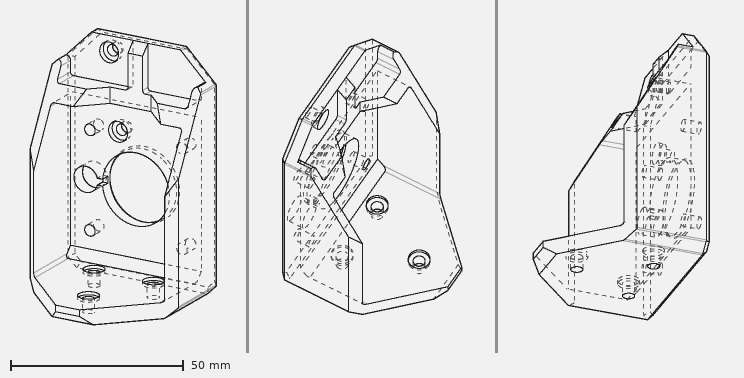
import cadquery as cq
import math

WIDTH = 50.0
DEPTH = 44.0
HEIGHT = 75.0
HALF_WIDTH = WIDTH / 2

TOP_CORNER = 10.05
BOTTOM_CORNER = 3.0
CORNER_RADIUS = 0.75
BACK_CHAMFER = 1.5
TIP_HALF_WIDTH = 4.0
TIP_CHAMFER = 3.0

SIDE_WALL = 3.0
PLATE = 5.0
FLOOR = 5.0
INNER_RADIUS = 1.0
HALF_INNER = HALF_WIDTH - SIDE_WALL

SLOPE_START = 37.5
SLOPE_ANGLE = 29.5

CHAMBER_TOP = 55.4
CHAMBER_CHAMFER = 3.0
BRIDGE = 5.0
SHELF_Z = CHAMBER_TOP + BRIDGE
NOTCH_HALF_WIDTH = 6.9
RIB_DEPTH = 8.0

WALL_TOP = 66.45
WALL_TOP_RADIUS = 1.5
RIB_WIDTH = 4.95
RIB_X = 1.6

SCREW_HOLE = 3.5
SCREW_HEAD = 6.4
PLATE_HEAD_DEPTH = 2.0
FLOOR_HEAD_DEPTH = 1.0
MOTOR_Z = 29.25
MOTOR_BORE = 22.5
BORE_CHAMFER_DEPTH = 0.9
BORE_CHAMFER_WIDTH = 0.45
MOTOR_PITCH = 31.0
CABLE_HOLE = 8.0
CABLE_X = -16.9
SLOT_WIDTH = 2.1
SLOT_DEPTH = 3.0
PLATE_SCREWS = [
    (-9.0, 69.8),
    (-6.0, 45.9),
]
FLOOR_SCREWS = [
    (-10.0, -12.0),
    (10.0, -12.0),
    (0, -32.0),
]


def xz_plane_at(y):
    return cq.Workplane("XZ", origin=(0, y, 0))


def front_prism(outline, y_back, y_front):
    """Extrude an XZ outline between two Y positions, y_front being more negative."""
    return xz_plane_at(y_back).polyline(outline).close().extrude(y_back - y_front)


def side_prism(outline, x_left, x_right):
    """Extrude a YZ outline between two X positions."""
    plane = cq.Workplane("YZ", origin=(x_left, 0, 0))
    return plane.polyline(outline).close().extrude(x_right - x_left)


def box_between(x_range, y_range, z_range):
    size = [high - low for low, high in (x_range, y_range, z_range)]
    corner = (x_range[0], y_range[0], z_range[0])
    return cq.Workplane("XY").box(*size, centered=False).translate(corner)


def mirrored(points):
    """Close a right-hand outline, listed bottom to top, with its mirror image."""
    return points + [(-x, v) for x, v in reversed(points)]


def outer_body():
    profile = mirrored([
        (HALF_WIDTH - BOTTOM_CORNER, 0),
        (HALF_WIDTH, BOTTOM_CORNER),
        (HALF_WIDTH, HEIGHT - TOP_CORNER),
        (HALF_WIDTH - TOP_CORNER, HEIGHT),
    ])
    prism = front_prism(profile, 0, -DEPTH)
    rounded = prism.edges("|Y").fillet(CORNER_RADIUS)
    body = rounded.intersect(prism.faces(">Y").edges().chamfer(BACK_CHAMFER))

    plan = mirrored([
        (TIP_HALF_WIDTH, -DEPTH),
        (HALF_WIDTH, -DEPTH + HALF_WIDTH - TIP_HALF_WIDTH),
        (HALF_WIDTH, 0),
    ])
    body = body.intersect(cq.Workplane("XY").polyline(plan).close().extrude(HEIGHT))

    tip = [(-DEPTH, 0), (-DEPTH + TIP_CHAMFER, 0), (-DEPTH, TIP_CHAMFER)]
    return body.cut(side_prism(tip, -HALF_WIDTH, HALF_WIDTH))


def slope_cut():
    start_y = -DEPTH + HALF_INNER - TIP_HALF_WIDTH
    rise = WALL_TOP - SLOPE_START
    end_y = start_y + rise * math.tan(math.radians(SLOPE_ANGLE))
    outline = [
        (-DEPTH, SLOPE_START),
        (start_y, SLOPE_START),
        (end_y, WALL_TOP),
        (-DEPTH, WALL_TOP),
    ]
    return side_prism(outline, -HALF_WIDTH, HALF_WIDTH)


def motor_chamber():
    inner_x = (-HALF_INNER, HALF_INNER)
    chamber = box_between(inner_x, (-DEPTH, -PLATE), (FLOOR, CHAMBER_TOP))
    chamber = chamber.edges("|Y").fillet(INNER_RADIUS)
    wedge = [
        (-PLATE, FLOOR),
        (-PLATE - CHAMBER_CHAMFER, FLOOR),
        (-PLATE, FLOOR + CHAMBER_CHAMFER),
    ]
    return chamber.cut(side_prism(wedge, *inner_x))


def bridge_notch():
    spread = DEPTH - RIB_DEPTH
    plan = mirrored([
        (NOTCH_HALF_WIDTH + spread, -DEPTH),
        (NOTCH_HALF_WIDTH, -RIB_DEPTH),
    ])
    notch = cq.Workplane("XY", origin=(0, 0, CHAMBER_TOP)).polyline(plan).close()
    inner = box_between((-HALF_INNER, HALF_INNER), (-DEPTH, 0), (CHAMBER_TOP, HEIGHT))
    return notch.extrude(HEIGHT - CHAMBER_TOP).intersect(inner)


def edges_at_height(z):
    """Select edges at one height, leaving out the outer sides of the part."""
    margin = SIDE_WALL / 4
    reach = HALF_INNER + margin
    return cq.selectors.BoxSelector((-reach, -DEPTH, z - margin), (reach, 0, z + margin))


def upper_pockets():
    """Space in front of the back plate above the bridge, leaving the rib standing."""
    outline = [
        (-HALF_WIDTH, HEIGHT),
        (-HALF_WIDTH, WALL_TOP),
        (-HALF_INNER, WALL_TOP),
        (-HALF_INNER, SHELF_Z),
        (HALF_INNER, SHELF_Z),
        (HALF_INNER, WALL_TOP),
        (HALF_WIDTH, WALL_TOP),
        (HALF_WIDTH, HEIGHT),
    ]
    space = front_prism(outline, -PLATE, -DEPTH)
    rib_x = (RIB_X - RIB_WIDTH / 2, RIB_X + RIB_WIDTH / 2)
    space = space.cut(box_between(rib_x, (-DEPTH, 0), (SHELF_Z, HEIGHT)))
    space = space.edges("|Y").edges(edges_at_height(WALL_TOP)).fillet(WALL_TOP_RADIUS)
    return space.edges("|Y").edges(edges_at_height(SHELF_Z)).fillet(INNER_RADIUS)


def rib_top_chamfer():
    reach = RIB_DEPTH - PLATE
    outline = [(-PLATE, HEIGHT), (-RIB_DEPTH, HEIGHT), (-RIB_DEPTH, HEIGHT - reach)]
    return side_prism(outline, -HALF_INNER, HALF_INNER)


def cylinder_y(x, z, diameter, depth, y_start=0.0):
    """Cylinder running from y_start toward -Y."""
    return xz_plane_at(y_start).center(x, z).circle(diameter / 2).extrude(depth)


def motor_bore_flare():
    """Cone that opens the motor bore toward the back face."""
    radius = MOTOR_BORE / 2
    half_section = [
        (0, 0),
        (radius + BORE_CHAMFER_WIDTH, 0),
        (radius, -BORE_CHAMFER_DEPTH),
        (0, -BORE_CHAMFER_DEPTH),
    ]
    section = cq.Workplane("XY", origin=(0, 0, MOTOR_Z)).polyline(half_section).close()
    return section.revolve(360, (0, 0, 0), (0, 1, 0))


def plate_holes():
    bore = cylinder_y(0, MOTOR_Z, MOTOR_BORE, PLATE)
    cutter = bore.union(motor_bore_flare())
    cutter = cutter.union(cylinder_y(CABLE_X, MOTOR_Z, CABLE_HOLE, PLATE))
    half_slot = SLOT_WIDTH / 2
    slot_y = (-PLATE, -PLATE + SLOT_DEPTH)
    slot_z = (MOTOR_Z - half_slot, MOTOR_Z + half_slot)
    slot = box_between((CABLE_X, 0), slot_y, slot_z)
    cutter = cutter.union(slot)
    half_pitch = MOTOR_PITCH / 2
    for x in (-half_pitch, half_pitch):
        for z in (MOTOR_Z - half_pitch, MOTOR_Z + half_pitch):
            cutter = cutter.union(cylinder_y(x, z, SCREW_HOLE, PLATE))
    for x, z in PLATE_SCREWS:
        cutter = cutter.union(cylinder_y(x, z, SCREW_HOLE, PLATE))
        cutter = cutter.union(cylinder_y(x, z, SCREW_HEAD, PLATE_HEAD_DEPTH, PLATE_HEAD_DEPTH - PLATE))
    return cutter


def floor_holes():
    holes = cq.Workplane("XY").pushPoints(FLOOR_SCREWS)
    holes = holes.circle(SCREW_HOLE / 2).extrude(FLOOR)
    heads = cq.Workplane("XY", origin=(0, 0, FLOOR - FLOOR_HEAD_DEPTH)).pushPoints(FLOOR_SCREWS)
    return holes.union(heads.circle(SCREW_HEAD / 2).extrude(FLOOR_HEAD_DEPTH))


result = outer_body()
cutters = [
    slope_cut(),
    motor_chamber(),
    bridge_notch(),
    upper_pockets(),
    rib_top_chamfer(),
    plate_holes(),
    floor_holes(),
]
for cutter in cutters:
    result = result.cut(cutter)